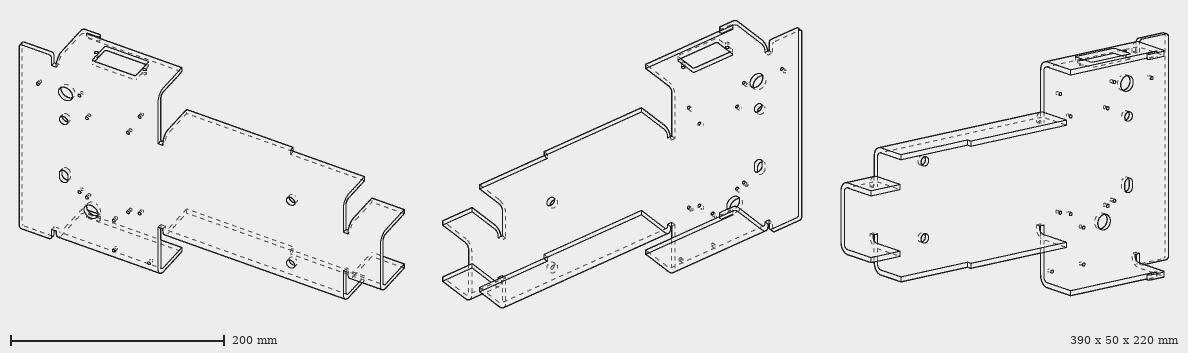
import cadquery as cq

thickness = 5.0
bend_outer_radius = 10.0
bend_inner_radius = bend_outer_radius - thickness
relief_width = 5.0
relief_depth = 12.0

total_length = 390.0
wide_height = 220.0
middle_height = 124.0
narrow_height = 70.0
tongue_end = 35.0
wide_end = 150.0
middle_end = 350.0
wide_start = tongue_end + relief_width
middle_start = wide_end + relief_width
narrow_start = middle_end + relief_width
tongue_corner_radius = 3.0

flange_depth = 45.0
middle_step_x = 270.0
middle_step_depth = 40.0

hook_depth = 50.0
hook_end = 60.0
hook_slit_start = 47.0
hook_slit_width = 1.0
hook_corner_radius = 3.0

window_length = 47.0
window_width = 25.0
window_corner_radius = 1.5
window_x = (wide_start + wide_end) / 2
window_y = 25.0
window_screw_diameter = 3.3
window_screw_spacing = 52.0

cable_hole_diameter = 15.0
cable_holes = [(50.0, 70.0), (77.5, -60.0)]
mount_hole_diameter = 9.0
mount_x = 48.0
mount_z = 37.5
far_mount_x = 293.0
mount_holes = [(mount_x, mount_z), (far_mount_x, mount_z), (far_mount_x, -mount_z)]
mount_slot_length = 14.0
mount_slot_z = -29.5

screw_diameter = 3.0
outer_screws = [(x, z) for x in (65.0, 130.0) for z in (74.0, -41.5)]
inner_screws = [(x, z) for x in (73.0, 117.5) for z in (50.0, -45.0)]
lower_screws = [(102.0, -61.0), (102.0, -97.0), (140.0, -97.0)]
tongue_screw = (20.0, 70.0)
screw_holes = outer_screws + inner_screws + lower_screws + [tongue_screw]


def plate_block(x_start, x_end, height):
    """Flat piece of the plate, centred on Z = 0."""
    block = cq.Workplane("XY").box(x_end - x_start, thickness, height, centered=(False, False, True))
    return block.translate((x_start, 0, 0))


def channel(x_start, x_end, height):
    """U-shaped length of sheet with a rounded bend along both sides."""
    length = x_end - x_start
    outer = (
        cq.Workplane("XY")
        .box(length, flange_depth, height, centered=(False, False, True))
        .edges("|X and <Y")
        .fillet(bend_outer_radius)
    )
    inner = (
        cq.Workplane("XY")
        .box(length, flange_depth, height - 2 * thickness, centered=(False, False, True))
        .edges("|X and <Y")
        .fillet(bend_inner_radius)
        .translate((0, thickness, 0))
    )
    return outer.cut(inner).translate((x_start, 0, 0))


def tongue():
    """Flat end of the plate with rounded corners."""
    return plate_block(0, tongue_end, wide_height).edges("|Y").fillet(tongue_corner_radius)


def middle_channel():
    """Middle channel with its flanges lowered beyond the step."""
    body = channel(middle_start, middle_end, middle_height)
    step = cq.Workplane("XY").box(
        middle_end - middle_step_x,
        flange_depth - middle_step_depth,
        middle_height,
        centered=(False, False, True),
    )
    return body.cut(step.translate((middle_step_x, middle_step_depth, 0)))


def hooks():
    """Pair of round-tipped hooks, each separated from its flange by a slit."""
    hook_bottom = flange_depth + hook_slit_width
    tip_radius = (hook_depth - hook_bottom) / 2
    tip_start = hook_end - tip_radius
    hook = (
        cq.Workplane("XY")
        .moveTo(wide_start, flange_depth)
        .lineTo(wide_start, hook_depth)
        .lineTo(tip_start, hook_depth)
        .threePointArc((hook_end, hook_depth - tip_radius), (tip_start, hook_bottom))
        .lineTo(hook_slit_start, hook_bottom)
        .lineTo(hook_slit_start, flange_depth)
        .close()
        .extrude(thickness)
        .edges("|Z and <X and >Y")
        .fillet(hook_corner_radius)
    )
    upper = hook.translate((0, 0, wide_height / 2 - thickness))
    lower = hook.translate((0, 0, -wide_height / 2))
    return upper.union(lower)


def hole_cutter(centres, diameter):
    """Cylinders running in Y through the plate."""
    return (
        cq.Workplane("XZ", origin=(0, thickness, 0))
        .pushPoints(centres)
        .circle(diameter / 2)
        .extrude(thickness)
    )


def slot_cutter():
    """Vertical mounting slot through the plate."""
    return (
        cq.Workplane("XZ", origin=(mount_x, thickness, mount_slot_z))
        .slot2D(mount_slot_length, mount_hole_diameter, 90)
        .extrude(thickness)
    )


def window_cutter():
    """Connector opening and its two screw holes, through the upper flange."""
    plane = cq.Workplane("XY", origin=(window_x, window_y, wide_height / 2 - thickness))
    opening = (
        plane.rect(window_length, window_width)
        .extrude(thickness)
        .edges("|Z")
        .fillet(window_corner_radius)
    )
    screws = (
        plane.pushPoints([(-window_screw_spacing / 2, 0), (window_screw_spacing / 2, 0)])
        .circle(window_screw_diameter / 2)
        .extrude(thickness)
    )
    return opening.union(screws)


def bridge(x_start, height):
    """Flat strip joining two sections between a pair of bend reliefs."""
    return plate_block(x_start, x_start + relief_width, height - 2 * relief_depth)


result = (
    tongue()
    .union(bridge(tongue_end, wide_height))
    .union(channel(wide_start, wide_end, wide_height))
    .union(hooks())
    .union(bridge(wide_end, middle_height))
    .union(middle_channel())
    .union(bridge(middle_end, narrow_height))
    .union(channel(narrow_start, total_length, narrow_height))
    .cut(hole_cutter(cable_holes, cable_hole_diameter))
    .cut(hole_cutter(mount_holes, mount_hole_diameter))
    .cut(hole_cutter(screw_holes, screw_diameter))
    .cut(slot_cutter())
    .cut(window_cutter())
)